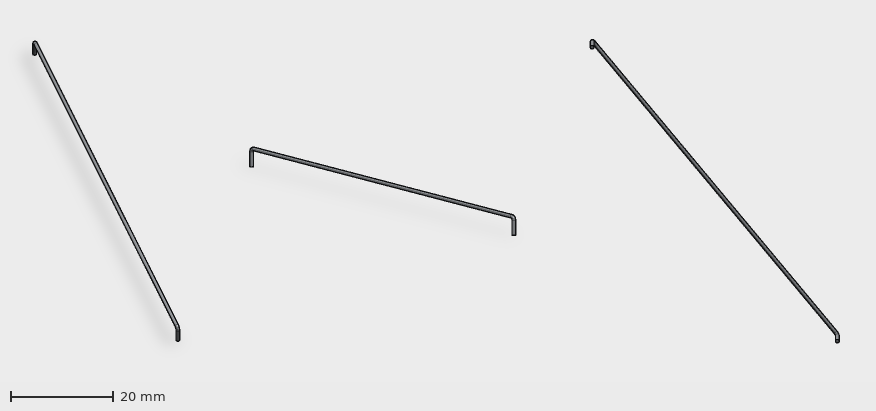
import cadquery as cq

wire_diameter = 0.75
overall_length = 78.75
overall_height = 4.0
bend_radius = 0.6

wire_radius = wire_diameter / 2
leg_x = overall_length / 2 - wire_radius
bar_z = overall_height - wire_radius
straight_x = leg_x - bend_radius
bend_start_z = bar_z - bend_radius

centreline = (
    cq.Workplane("XZ")
    .moveTo(-leg_x, 0)
    .lineTo(-leg_x, bend_start_z)
    .radiusArc((-straight_x, bar_z), bend_radius)
    .lineTo(straight_x, bar_z)
    .radiusArc((leg_x, bend_start_z), bend_radius)
    .lineTo(leg_x, 0)
)

result = cq.Workplane("XY").center(-leg_x, 0).circle(wire_radius).sweep(centreline)